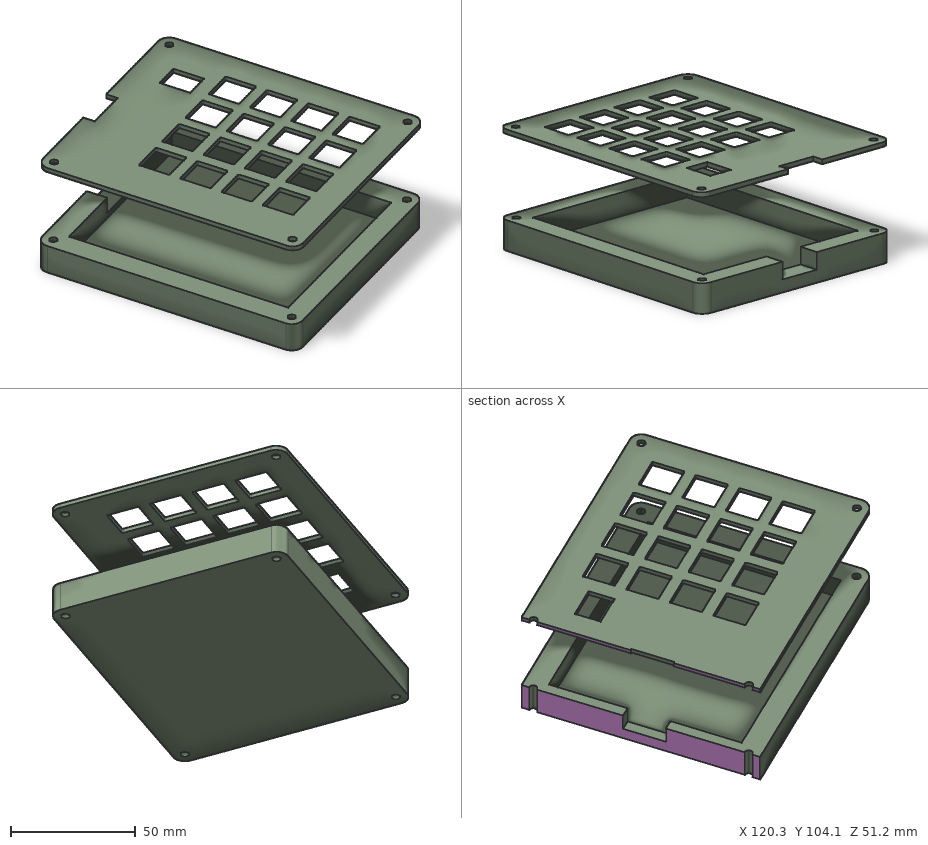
import cadquery as cq

LENGTH = 119.9
WIDTH = 104.1
CORNER_RADIUS = 5.0

SCREW_HOLE_DIAMETER = 3.4
SCREW_SPACING_X = LENGTH - 2 * CORNER_RADIUS
SCREW_SPACING_Y = WIDTH - 2 * CORNER_RADIUS

CASE_HEIGHT = 13.0
FLOOR_THICKNESS = 3.0
POCKET_LENGTH = 100.9
POCKET_WIDTH = 84.2

NOTCH_WIDTH = 18.6
CASE_NOTCH_DEPTH = 7.5
CASE_NOTCH_Y = -1.6
PLATE_NOTCH_LENGTH = 5.3
PLATE_NOTCH_Y = -4.9

TOTAL_HEIGHT = 51.2
PLATE_THICKNESS = 2.0
PLATE_BOTTOM = TOTAL_HEIGHT - PLATE_THICKNESS
PLATE_SHIFT_X = 0.4

KEYS_PER_SIDE = 4
KEY_PITCH = 19.0
KEY_SIZE = 14.1
KEY_CORNER_RADIUS = 0.5
KEY_GRID_X = 11.3
KEY_GRID_Y = 3.2

WINDOW_LENGTH = 14.1
WINDOW_WIDTH = 11.3
WINDOW_X = -38.1
WINDOW_Y = 27.5


def make_slab(thickness):
    """Rounded slab on Z = 0 with a through hole at each corner."""
    return (
        cq.Workplane("XY")
        .box(LENGTH, WIDTH, thickness, centered=(True, True, False))
        .edges("|Z")
        .fillet(CORNER_RADIUS)
        .faces(">Z")
        .workplane(origin=(0, 0, thickness))
        .rect(SCREW_SPACING_X, SCREW_SPACING_Y, forConstruction=True)
        .vertices()
        .hole(SCREW_HOLE_DIAMETER)
    )


def make_notch(length, center_y, bottom, depth):
    """Block that cuts a notch inward from the -X edge."""
    return (
        cq.Workplane("XY")
        .box(length, NOTCH_WIDTH, depth, centered=(False, True, False))
        .translate((-LENGTH / 2, center_y, bottom))
    )


def make_case():
    pocket_depth = CASE_HEIGHT - FLOOR_THICKNESS
    pocket = (
        cq.Workplane("XY")
        .box(POCKET_LENGTH, POCKET_WIDTH, pocket_depth, centered=(True, True, False))
        .translate((0, 0, FLOOR_THICKNESS))
    )
    wall_thickness = (LENGTH - POCKET_LENGTH) / 2
    notch_bottom = CASE_HEIGHT - CASE_NOTCH_DEPTH
    notch = make_notch(wall_thickness, CASE_NOTCH_Y, notch_bottom, CASE_NOTCH_DEPTH)
    return make_slab(CASE_HEIGHT).cut(pocket).cut(notch)


def make_key_openings():
    return (
        cq.Workplane("XY")
        .center(KEY_GRID_X, KEY_GRID_Y)
        .rarray(KEY_PITCH, KEY_PITCH, KEYS_PER_SIDE, KEYS_PER_SIDE)
        .rect(KEY_SIZE, KEY_SIZE)
        .extrude(PLATE_THICKNESS)
        .edges("|Z")
        .fillet(KEY_CORNER_RADIUS)
    )


def make_key_plate():
    window = (
        cq.Workplane("XY")
        .center(WINDOW_X, WINDOW_Y)
        .rect(WINDOW_LENGTH, WINDOW_WIDTH)
        .extrude(PLATE_THICKNESS)
    )
    notch = make_notch(PLATE_NOTCH_LENGTH, PLATE_NOTCH_Y, 0, PLATE_THICKNESS)
    plate = make_slab(PLATE_THICKNESS).cut(make_key_openings()).cut(window).cut(notch)
    return plate.translate((PLATE_SHIFT_X, 0, PLATE_BOTTOM))


case = make_case()
key_plate = make_key_plate()

result = cq.Compound.makeCompound([case.val(), key_plate.val()])